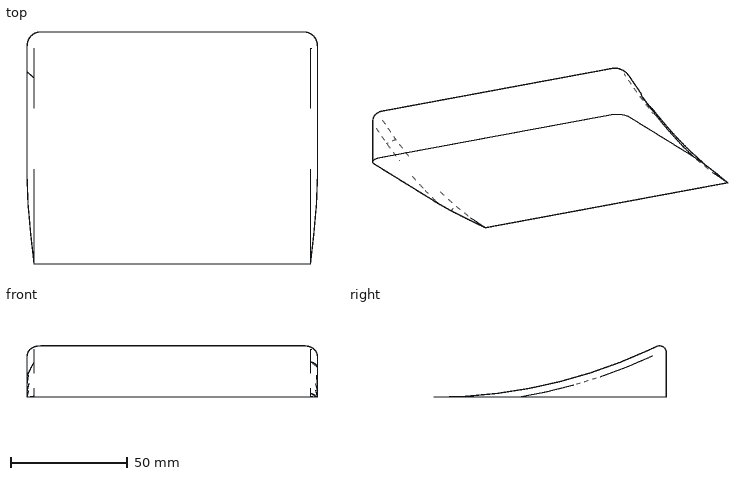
import cadquery as cq
import math

width = 125.0
depth = 100.0
rear_height = 24.0
corner_radius = 6.0
edge_radius = 3.0
base_allowance = 10.0

front_y = -depth / 2
rear_y = depth / 2

arc_radius = (depth**2 + rear_height**2) / (2 * rear_height)


def arc_height(distance):
    """Height of the curved top at a given distance behind the front tip."""
    return arc_radius - math.sqrt(arc_radius**2 - distance**2)


def curved_block():
    """Wedge with a concave top, standing on extra stock below the base plane."""
    return (
        cq.Workplane("YZ")
        .moveTo(front_y, -base_allowance)
        .lineTo(front_y, 0)
        .threePointArc((0, arc_height(depth / 2)), (rear_y, rear_height))
        .lineTo(rear_y, -base_allowance)
        .close()
        .extrude(width / 2, both=True)
    )


def round_edges(block):
    """Round the vertical rear corners, then the top rim; the front edge stays sharp."""
    rounded_corners = block.edges("|Z and >Y").fillet(corner_radius)
    return rounded_corners.faces(">Z").edges("not <Y").fillet(edge_radius)


def trim_to_base(block):
    """Remove the stock below the base plane, leaving a sharp front tip."""
    below_base = (
        cq.Workplane("XY")
        .box(2 * width, 2 * depth, 2 * base_allowance)
        .translate((0, 0, -base_allowance))
    )
    return block.cut(below_base)


result = trim_to_base(round_edges(curved_block()))